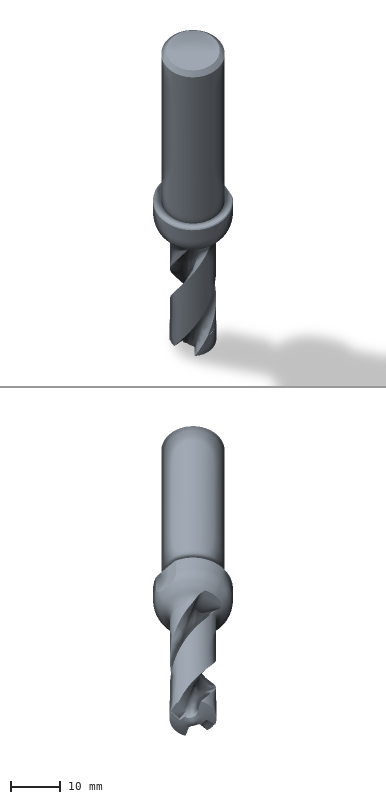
import cadquery as cq
import math

total_length = 88.18
shank_length = 45.0
collar_top = total_length - shank_length
collar_rim_bottom = 39.4
flute_top = 35.2
head_top = 6.4
stem_top = 9.9

shank_diameter = 12.7
shank_chamfer = 1.0
collar_diameter = 16.0
collar_chamfer = 0.2
collar_flat_y = 7.42
collar_round = 6.0
neck_fillet = 3.0
drill_diameter = 9.3

flute_count = 2
helix_angle = 30.0
flute_floor = 1.07
flute_floor_half_width = 0.43
flute_fillet = 1.12
flute_wall_angle = 66.0
flute_tip_angle = 114.5

head_diameter = 9.4
point_rim = 1.4
pilot_radius = 1.8
pilot_height = 0.75
stem_diameter = 4.0
prong_wall = 1.9
prong_bottom = 1.8
prong_relief_angle = 10.0

collar_radius = collar_diameter / 2
drill_radius = drill_diameter / 2
head_radius = head_diameter / 2
lead = math.pi * drill_diameter / math.tan(math.radians(helix_angle))
clearance = 1.0


def turned_profile():
    """Half section of the holder as turned, from the axis outwards."""
    shank_radius = shank_diameter / 2
    round_x = collar_radius - collar_round
    fillet_x = drill_radius + neck_fillet
    reach = collar_round + neck_fillet
    drop = math.sqrt(reach ** 2 - (fillet_x - round_x) ** 2)
    fillet_z = collar_rim_bottom - drop
    join_angle = math.atan2(drop, fillet_x - round_x)

    def on_round(angle):
        drop_on_round = collar_round * math.sin(angle)
        return (round_x + collar_round * math.cos(angle), collar_rim_bottom - drop_on_round)

    def on_fillet(angle):
        return (fillet_x - neck_fillet * math.cos(angle), fillet_z + neck_fillet * math.sin(angle))

    return (
        cq.Workplane("XZ")
        .moveTo(0, prong_bottom)
        .lineTo(drill_radius, prong_bottom)
        .lineTo(drill_radius, fillet_z)
        .threePointArc(on_fillet(join_angle / 2), on_fillet(join_angle))
        .threePointArc(on_round(join_angle / 2), (collar_radius, collar_rim_bottom))
        .lineTo(collar_radius, collar_top - collar_chamfer)
        .lineTo(collar_radius - collar_chamfer, collar_top)
        .lineTo(shank_radius, collar_top)
        .lineTo(shank_radius, total_length - shank_chamfer)
        .lineTo(shank_radius - shank_chamfer, total_length)
        .lineTo(0, total_length)
        .close()
    )


def flute_cutter(start_angle):
    """Twisted bar that clears one flute, pointing along start_angle at Z = 0."""
    slope = math.radians(flute_wall_angle)

    def on_arc(angle):
        return (
            flute_floor + flute_fillet * (1 - math.cos(angle)),
            flute_floor_half_width + flute_fillet * math.sin(angle),
        )

    arc_middle = on_arc(slope / 2)
    arc_end = on_arc(slope)
    outer = collar_radius
    mouth_half_width = arc_end[1] + (drill_radius - arc_end[0]) / math.tan(slope)
    height = flute_top + clearance
    profile = (
        cq.Workplane("XY")
        .moveTo(flute_floor, -flute_floor_half_width)
        .lineTo(flute_floor, flute_floor_half_width)
        .threePointArc(arc_middle, arc_end)
        .lineTo(drill_radius, mouth_half_width)
        .lineTo(outer, mouth_half_width)
        .lineTo(outer, -mouth_half_width)
        .lineTo(drill_radius, -mouth_half_width)
        .lineTo(arc_end[0], -arc_end[1])
        .threePointArc((arc_middle[0], -arc_middle[1]), (flute_floor, -flute_floor_half_width))
        .close()
    )
    cutter = profile.twistExtrude(height, 360 * height / lead).translate((0, 0, -clearance))
    return cutter.rotate((0, 0, 0), (0, 0, 1), start_angle - 360 * clearance / lead)


def prong_zone(turn):
    """Block around one holder prong: two square drive walls, open outwards along a diagonal."""
    wall = prong_wall
    far = collar_radius
    return (
        cq.Workplane("XY")
        .workplane(offset=-clearance)
        .polyline([(-wall, -wall), (-wall, -far), (far, -far), (wall, -wall)])
        .close()
        .extrude(head_top + clearance)
        .rotate((0, 0, 0), (0, 0, 1), turn)
    )


def prong_relief(turn):
    """Wedge that slopes the end of one holder prong."""
    far = collar_radius
    rise = (far + prong_wall) * math.tan(math.radians(prong_relief_angle))
    return (
        cq.Workplane("XZ")
        .polyline([(-prong_wall, prong_bottom), (far, prong_bottom), (far, prong_bottom + rise)])
        .close()
        .extrude(far)
        .rotate((0, 0, 0), (0, 0, 1), turn)
    )


def insert_blank():
    """Pointed cutting head with its stem, before the flutes are cut."""
    half_section = [
        (0, 0),
        (pilot_radius, pilot_height),
        (head_radius, point_rim),
        (head_radius, head_top),
        (0, head_top),
    ]
    head = (
        cq.Workplane("XZ")
        .polyline(half_section)
        .close()
        .revolve(360, (0, 0), (0, 1))
    )
    for index in range(flute_count):
        head = head.cut(prong_zone(index * 360 / flute_count))
    stem = (
        cq.Workplane("XY")
        .workplane(offset=head_top)
        .circle(stem_diameter / 2)
        .extrude(stem_top - head_top)
    )
    return head.union(stem)


holder = turned_profile().revolve(360, (0, 0), (0, 1))
flat_cut = (
    cq.Workplane("XY")
    .box(collar_diameter, collar_diameter, total_length, centered=(True, False, False))
    .translate((0, collar_flat_y, 0))
)
holder = holder.cut(flat_cut)
insert = insert_blank()
holder = holder.cut(insert)

for index in range(flute_count):
    turn = index * 360 / flute_count
    cutter = flute_cutter(flute_tip_angle + turn)
    holder = holder.cut(prong_relief(turn)).cut(cutter)
    insert = insert.cut(cutter)

result = cq.Compound.makeCompound([holder.solids().val(), insert.solids().val()])